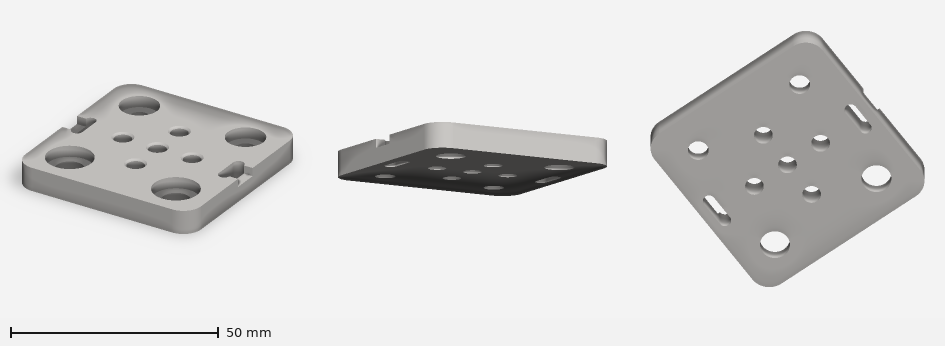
import cadquery as cq

side = 50.0
thickness = 6.3
corner_radius = 5.0

bore_x = 15.1
small_bore_y = 15.75
small_hole_diameter = 5.0
small_bore_diameter = 10.0
large_bore_y = -15.6
large_hole_diameter = 7.2
large_bore_diameter = 12.0
bore_depth = 3.0

cross_spacing = 9.85
cross_hole_diameter = 4.5
cross_mouth_diameter = 5.5
cross_chamfer = (cross_mouth_diameter - cross_hole_diameter) / 2

slot_x = 21.0
slot_width = 3.0
left_slot_length = 9.0
right_slot_length = 9.5
notch_width = 6.6
notch_depth = 2.2


def make_plate():
    """Square plate standing on Z = 0 with rounded vertical corners."""
    plate = cq.Workplane("XY").box(side, side, thickness, centered=(True, True, False))
    return plate.edges("|Z").fillet(corner_radius)


def cut_counterbore_pair(body, y, hole_diameter, bore_diameter):
    """Two counterbored through holes, mirrored about X = 0."""
    centers = [(-bore_x, y), (bore_x, y)]
    top = body.faces(">Z").workplane(origin=(0, 0, thickness))
    return top.pushPoints(centers).cboreHole(hole_diameter, bore_diameter, bore_depth)


def cut_edge_slot(body, direction, length):
    """Vertical through slot near the left (-1) or right (+1) edge, with its notch."""
    slot = (
        cq.Workplane("XY")
        .center(direction * slot_x, 0)
        .slot2D(length, slot_width, 90)
        .extrude(thickness)
    )
    notch_length = side / 2 - slot_x
    notch = cq.Workplane("XY").box(notch_length, notch_width, notch_depth).translate(
        (direction * (slot_x + notch_length / 2), 0, thickness - notch_depth / 2)
    )
    return body.cut(slot).cut(notch)


def cut_cross_hole(body, x, y):
    """Through hole with a chamfered mouth on the top face."""
    hole = cq.Workplane("XY").center(x, y).circle(cross_hole_diameter / 2).extrude(thickness)
    mouth = cq.Workplane("XY", origin=(x, y, thickness)).circle(cross_mouth_diameter / 2)
    return body.cut(hole).cut(mouth.extrude(-cross_chamfer, taper=45))


result = make_plate()
result = cut_counterbore_pair(result, small_bore_y, small_hole_diameter, small_bore_diameter)
result = cut_counterbore_pair(result, large_bore_y, large_hole_diameter, large_bore_diameter)
for step_x, step_y in [(0, 0), (1, 0), (-1, 0), (0, 1), (0, -1)]:
    result = cut_cross_hole(result, step_x * cross_spacing, step_y * cross_spacing)
result = cut_edge_slot(result, -1, left_slot_length)
result = cut_edge_slot(result, 1, right_slot_length)